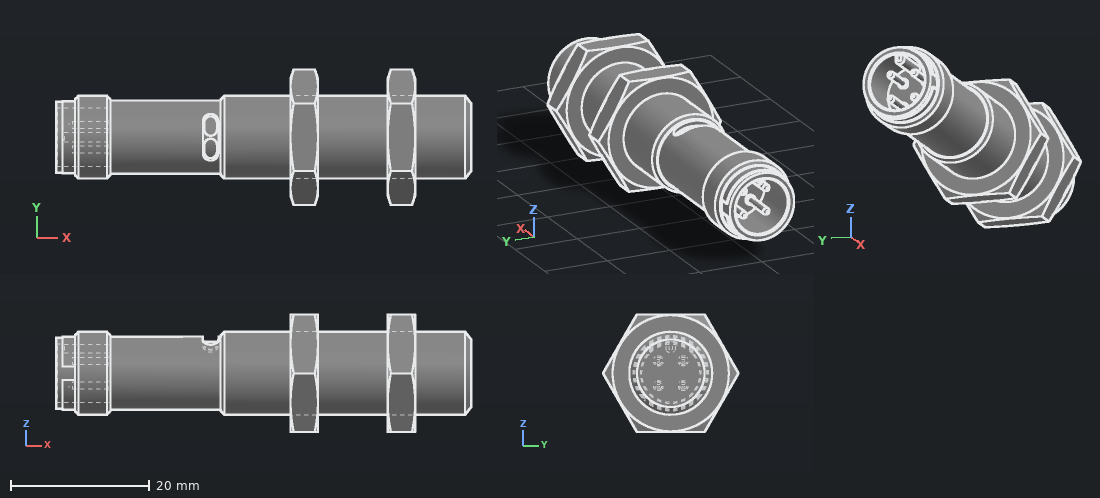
import cadquery as cq

LENGTH = 60.0
RING_START = 0.95
COLLAR_START = 2.7
COLLAR_END = 7.85
BARREL_START = 23.75
SHOULDER_CHAMFER_LENGTH = 0.55
TIP_CHAMFER_START = 59.1
TIP_EDGE_START = 59.75

MOUTH_DIAMETER = 10.3
SHANK_DIAMETER = 10.6
SHOULDER_DIAMETER = 10.9
BARREL_DIAMETER = 12.0
TIP_EDGE_DIAMETER = 10.3
TIP_FACE_DIAMETER = 9.8

GROOVE_WIDTH = 1.9

BORE_DIAMETER = 8.4
BORE_DEPTH = 7.8
BORE_CHAMFER = 0.2
PIN_DIAMETER = 1.0
PIN_TIP_DIAMETER = 0.4
PIN_TIP_LENGTH = 0.55
PIN_START = 1.85
PIN_SPACING = 3.6
PIN_BASE_DIAMETER = 1.45
PIN_BASE_LENGTH = 0.3
KEY_WIDTH = 1.4
KEY_START = 1.0
KEY_BOTTOM = 2.95
KEY_CHAMFER_LENGTH = 0.2
KEY_CHAMFER_INSET = 0.4

SLOT_CENTER = 22.3
SLOT_WIDTH = 2.2
SLOT_LENGTH = 6.7
SLOT_DEPTH = 0.8
WINDOW_WIDTH = 1.8
WINDOW_LENGTH = 2.8
WINDOW_SPACING = 3.25
WINDOW_HEIGHT = 0.05

NUT_STARTS = (33.85, 47.9)
NUT_THICKNESS = 4.0
NUT_ACROSS_CORNERS = 19.6
NUT_FACE_DIAMETER = 16.8
NUT_CHAMFER_LENGTH = 0.5


def cylinder(diameter, start, end):
    """Cylinder along X between two X positions."""
    return cq.Workplane("YZ", origin=(start, 0, 0)).circle(diameter / 2).extrude(end - start)


def revolved(profile):
    """Solid of revolution about the X axis from (x, radius) points."""
    return cq.Workplane("XY").polyline(profile).close().revolve(360, (0, 0, 0), (1, 0, 0))


def turned_blank():
    """Housing outline, solid, revolved about the X axis."""
    chamfer = SHOULDER_CHAMFER_LENGTH
    mouth = MOUTH_DIAMETER / 2
    shank = SHANK_DIAMETER / 2
    shoulder = SHOULDER_DIAMETER / 2
    barrel = BARREL_DIAMETER / 2
    profile = [
        (0, 0),
        (0, mouth),
        (RING_START, mouth),
        (RING_START, shank),
        (COLLAR_START, shank),
        (COLLAR_START, shoulder),
        (COLLAR_START + chamfer, barrel),
        (COLLAR_END - chamfer, barrel),
        (COLLAR_END, shoulder),
        (COLLAR_END, shank),
        (BARREL_START, shank),
        (BARREL_START, shoulder),
        (BARREL_START + chamfer, barrel),
        (TIP_CHAMFER_START, barrel),
        (TIP_EDGE_START, TIP_EDGE_DIAMETER / 2),
        (LENGTH, TIP_FACE_DIAMETER / 2),
        (LENGTH, 0),
    ]
    return revolved(profile)


def ring_grooves():
    """Material removed from both Y sides of the coding ring, down to the mouth diameter."""
    ring_length = COLLAR_START - RING_START
    band = cq.Workplane("XY").box(ring_length, BARREL_DIAMETER, GROOVE_WIDTH)
    band = band.translate((RING_START + ring_length / 2, 0, 0))
    return band.cut(cylinder(MOUTH_DIAMETER, RING_START, COLLAR_START))


def socket_bore():
    """Blind bore with a chamfered mouth."""
    radius = BORE_DIAMETER / 2
    profile = [
        (0, 0),
        (0, radius + BORE_CHAMFER),
        (BORE_CHAMFER, radius),
        (BORE_DEPTH, radius),
        (BORE_DEPTH, 0),
    ]
    return revolved(profile)


def contact_pins():
    """Four pins with conical tips, each on a short base on the bore floor."""
    tip = PIN_TIP_DIAMETER / 2
    shaft = PIN_DIAMETER / 2
    base = PIN_BASE_DIAMETER / 2
    base_start = BORE_DEPTH - PIN_BASE_LENGTH
    profile = [
        (PIN_START, 0),
        (PIN_START, tip),
        (PIN_START + PIN_TIP_LENGTH, shaft),
        (base_start, shaft),
        (base_start, base),
        (BORE_DEPTH, base),
        (BORE_DEPTH, 0),
    ]
    pin = revolved(profile)
    pins = cq.Workplane("XY")
    for y in (-PIN_SPACING / 2, PIN_SPACING / 2):
        for z in (-PIN_SPACING / 2, PIN_SPACING / 2):
            pins = pins.add(pin.translate((0, y, z)))
    return pins.combine()


def coding_key():
    """Round-bottomed rib along the top of the bore."""
    radius = KEY_WIDTH / 2
    center_z = KEY_BOTTOM + radius
    top_z = (BORE_DIAMETER / 2 + MOUTH_DIAMETER / 2) / 2
    key = (
        cq.Workplane("YZ", origin=(KEY_START, 0, 0))
        .moveTo(-radius, top_z)
        .lineTo(-radius, center_z)
        .threePointArc((0, KEY_BOTTOM), (radius, center_z))
        .lineTo(radius, top_z)
        .close()
        .extrude(BORE_DEPTH - KEY_START)
    )
    return key.faces("<X").edges("not >Z").chamfer(KEY_CHAMFER_LENGTH, KEY_CHAMFER_INSET)


def obround(length, width, y):
    """Tall obround prism along Z with its long side along Y, over the slot position."""
    prism = cq.Workplane("XY", origin=(SLOT_CENTER, y, 0))
    return prism.slot2D(length, width, 90).extrude(BARREL_DIAMETER / 2)


def shank_core(diameter):
    """Cylinder coaxial with the shank under the whole indicator slot."""
    return cylinder(diameter, SLOT_CENTER - SLOT_WIDTH, SLOT_CENTER + SLOT_WIDTH)


def indicator_slot():
    """Slot removed from the shank: a floor coaxial with it, and two slightly raised windows."""
    floor_diameter = SHANK_DIAMETER - 2 * SLOT_DEPTH
    slot = obround(SLOT_LENGTH, SLOT_WIDTH, 0).cut(shank_core(floor_diameter))
    window_core = shank_core(floor_diameter + 2 * WINDOW_HEIGHT)
    for y in (-WINDOW_SPACING / 2, WINDOW_SPACING / 2):
        slot = slot.cut(obround(WINDOW_LENGTH, WINDOW_WIDTH, y).intersect(window_core))
    return slot


def make_housing():
    housing = turned_blank().cut(ring_grooves()).cut(socket_bore()).cut(indicator_slot())
    return housing.union(contact_pins()).union(coding_key())


def make_nut(start):
    """Hexagon nut with conical chamfers on both faces, bored to fit the barrel."""
    end = start + NUT_THICKNESS
    face = NUT_FACE_DIAMETER / 2
    corner = NUT_ACROSS_CORNERS / 2
    hexagon = cq.Workplane("YZ", origin=(start, 0, 0)).polygon(6, NUT_ACROSS_CORNERS).extrude(NUT_THICKNESS)
    envelope_profile = [
        (start, 0),
        (start, face),
        (start + NUT_CHAMFER_LENGTH, corner),
        (end - NUT_CHAMFER_LENGTH, corner),
        (end, face),
        (end, 0),
    ]
    envelope = revolved(envelope_profile)
    return hexagon.intersect(envelope).cut(cylinder(BARREL_DIAMETER, start, end))


housing = make_housing()
nuts = [make_nut(start) for start in NUT_STARTS]
result = cq.Compound.makeCompound([housing.val(), *[nut.val() for nut in nuts]])